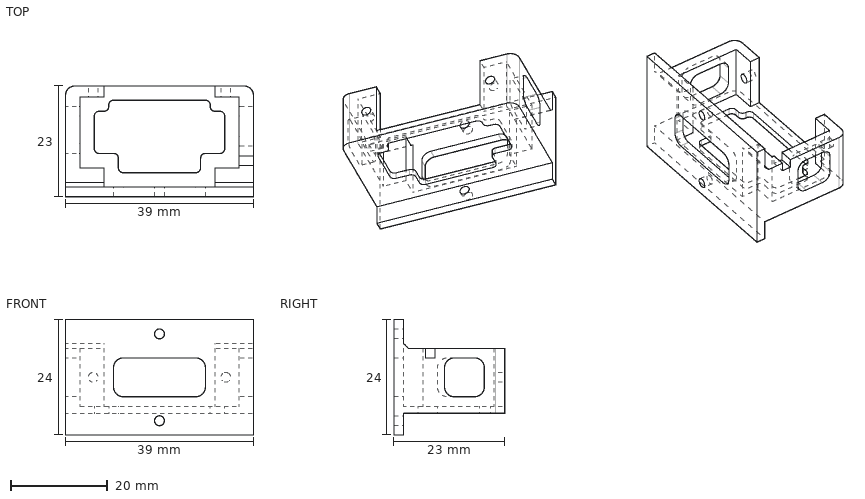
import cadquery as cq

WIDTH = 39.0
PLATE_HEIGHT = 24.0
PLATE_THICKNESS = 2.0
SCREW_HOLE_DIAMETER = 2.0
SCREW_HOLE_EDGE_DISTANCE = 3.0
PLATE_WINDOW_WIDTH = 19.0

DEPTH = 23.0
TRAY_BOTTOM = 4.5
FLOOR_TOP = 6.0
TRAY_TOP = 18.0
WALL_THICKNESS = 3.0
FRONT_BLOCK_DEPTH = 6.0
BACK_TAB_THICKNESS = 2.3
TAB_LENGTH = 8.0
BACK_CORNER_RADIUS = 2.0
BRACE_SIZE = 1.0

WINDOW_BOTTOM = 8.0
WINDOW_TOP = 16.0
WINDOW_CORNER_RADIUS = 2.0
SIDE_WINDOW_BACK = 18.7
LEFT_WINDOW_FRONT = 9.0
RIGHT_WINDOW_FRONT = 10.5

OPENING_FRONT = 5.0
OPENING_MIDDLE_FRONT = 9.0
OPENING_MIDDLE_BACK = 17.7
OPENING_BACK = 20.0
OPENING_FRONT_WIDTH = 17.0
OPENING_MIDDLE_WIDTH = 27.0
OPENING_BACK_WIDTH = 21.0
OPENING_CORNER_RADIUS = 1.0

TAB_HOLE_DIAMETER = 2.0
TAB_HOLE_HEIGHT = 12.0
TAB_HOLE_SIDE_DISTANCE = 5.75

NOTCH_FRONT = 6.5
NOTCH_WIDTH = 2.0
NOTCH_DEPTH = 2.0

CENTER_X = WIDTH / 2


def box(x0, x1, y0, y1, z0, z1):
    """Box between two opposite corners."""
    return cq.Workplane("XY").box(x1 - x0, y1 - y0, z1 - z0, centered=False).translate((x0, y0, z0))


def hole_along_y(x, z, diameter, y0, y1):
    """Cylinder along Y from y0 to y1."""
    axis_start = cq.Vector(x, y0, z)
    return cq.Workplane(cq.Solid.makeCylinder(diameter / 2, y1 - y0, axis_start, cq.Vector(0, 1, 0)))


def tray():
    """Floor, side walls, front blocks and back tabs behind the plate."""
    body = box(0, WIDTH, 0, DEPTH, TRAY_BOTTOM, TRAY_TOP)
    body = body.edges("|Z and >Y").fillet(BACK_CORNER_RADIUS)
    cavity = box(
        WALL_THICKNESS, WIDTH - WALL_THICKNESS,
        FRONT_BLOCK_DEPTH, DEPTH - BACK_TAB_THICKNESS,
        FLOOR_TOP, TRAY_TOP,
    )
    gap_between_tabs = box(TAB_LENGTH, WIDTH - TAB_LENGTH, PLATE_THICKNESS, DEPTH, FLOOR_TOP, TRAY_TOP)
    return body.cut(cavity).cut(gap_between_tabs)


def corner_braces():
    """Sloped strips joining the top of each front block to the plate."""
    profile = (
        cq.Workplane("YZ")
        .moveTo(PLATE_THICKNESS, TRAY_TOP)
        .lineTo(PLATE_THICKNESS + BRACE_SIZE, TRAY_TOP)
        .lineTo(PLATE_THICKNESS, TRAY_TOP + BRACE_SIZE)
        .close()
    )
    left = profile.extrude(TAB_LENGTH)
    return left.union(left.translate((WIDTH - TAB_LENGTH, 0, 0)))


def plate_window():
    """Rounded window through the middle of the plate."""
    cutter = box(
        CENTER_X - PLATE_WINDOW_WIDTH / 2, CENTER_X + PLATE_WINDOW_WIDTH / 2,
        0, PLATE_THICKNESS,
        WINDOW_BOTTOM, WINDOW_TOP,
    )
    return cutter.edges("|Y").fillet(WINDOW_CORNER_RADIUS)


def side_window(wall_x, front_y):
    """Rounded window through the side wall that starts at wall_x."""
    cutter = box(
        wall_x, wall_x + WALL_THICKNESS,
        front_y, SIDE_WINDOW_BACK,
        WINDOW_BOTTOM, WINDOW_TOP,
    )
    return cutter.edges("|X").fillet(WINDOW_CORNER_RADIUS)


def floor_opening():
    """Stepped opening through the floor with every corner rounded."""
    parts = (
        (OPENING_FRONT_WIDTH, OPENING_FRONT, OPENING_MIDDLE_FRONT),
        (OPENING_MIDDLE_WIDTH, OPENING_MIDDLE_FRONT, OPENING_MIDDLE_BACK),
        (OPENING_BACK_WIDTH, OPENING_MIDDLE_BACK, OPENING_BACK),
    )
    cutter = cq.Workplane("XY")
    for width, front_y, back_y in parts:
        cutter = cutter.union(
            box(CENTER_X - width / 2, CENTER_X + width / 2, front_y, back_y, TRAY_BOTTOM, FLOOR_TOP)
        )
    return cutter.edges("|Z").fillet(OPENING_CORNER_RADIUS)


def cable_notch():
    """Square notch across the top edge of the right wall."""
    return box(
        WIDTH - WALL_THICKNESS, WIDTH,
        NOTCH_FRONT, NOTCH_FRONT + NOTCH_WIDTH,
        TRAY_TOP - NOTCH_DEPTH, TRAY_TOP,
    )


plate = box(0, WIDTH, 0, PLATE_THICKNESS, 0, PLATE_HEIGHT)
result = plate.union(tray()).union(corner_braces())
result = result.cut(plate_window())
result = result.cut(side_window(0, LEFT_WINDOW_FRONT))
result = result.cut(side_window(WIDTH - WALL_THICKNESS, RIGHT_WINDOW_FRONT))
result = result.cut(floor_opening())
result = result.cut(cable_notch())

for hole_z in (SCREW_HOLE_EDGE_DISTANCE, PLATE_HEIGHT - SCREW_HOLE_EDGE_DISTANCE):
    result = result.cut(hole_along_y(CENTER_X, hole_z, SCREW_HOLE_DIAMETER, 0, PLATE_THICKNESS))

for hole_x in (TAB_HOLE_SIDE_DISTANCE, WIDTH - TAB_HOLE_SIDE_DISTANCE):
    result = result.cut(
        hole_along_y(hole_x, TAB_HOLE_HEIGHT, TAB_HOLE_DIAMETER, DEPTH - BACK_TAB_THICKNESS, DEPTH)
    )